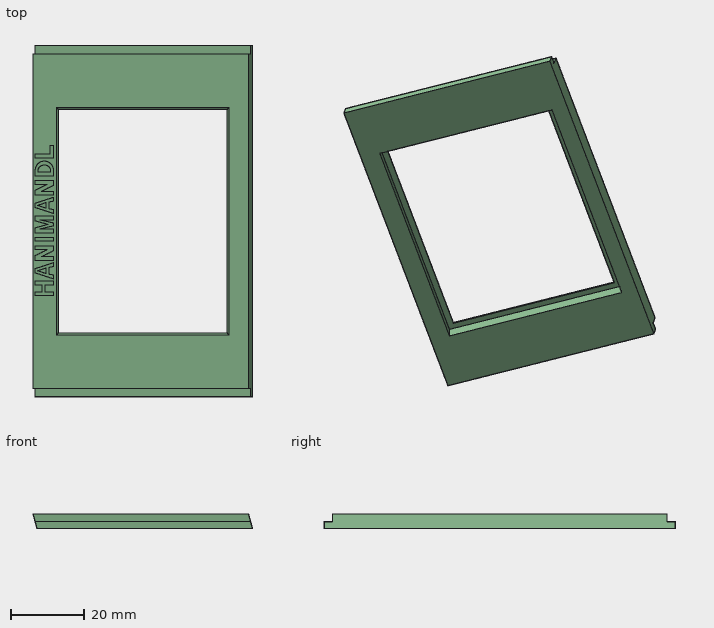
import cadquery as cq
import math

overall_width = 60.0
length = 96.0
thickness = 4.0
lean_angle = 15.0
ledge_width = 2.3
ledge_height = 1.9

window_width = 46.0
window_length = 61.0
bevel = 0.6
lip_thickness = 0.4
recess_margin = 1.6

cap_height = 5.0
baseline_x = -24.4
inlay_depth = 0.5
stem = 1.1
crossbar = 0.8
text_start = -20.4

letter_starts = [
    ("H", 0.0),
    ("A", 4.6),
    ("N", 9.6),
    ("I", 14.9),
    ("M", 17.2),
    ("A", 22.5),
    ("N", 27.5),
    ("D", 32.7),
    ("L", 37.6),
]

lean = thickness * math.tan(math.radians(lean_angle))
face_width = overall_width - lean
recess_depth = thickness - bevel - lip_thickness


def slanted_plate():
    """Parallelogram section in XZ, extruded along Y, base on Z = 0."""
    left = -overall_width / 2
    profile = [
        (left + lean, 0),
        (left + lean + face_width, 0),
        (left + face_width, thickness),
        (left, thickness),
    ]
    return cq.Workplane("XZ").polyline(profile).close().extrude(length / 2, both=True)


def ledge_cut(side):
    """Block that lowers the plate to the ledge at the +Y (side 1) or -Y (side -1) end."""
    ledge_middle = side * (length - ledge_width) / 2
    return (
        cq.Workplane("XY", origin=(0, ledge_middle, ledge_height))
        .box(overall_width, ledge_width, thickness, centered=(True, True, False))
    )


def window_cut():
    """Straight opening with a bevelled upper rim and a wider recess open to the underside."""
    opening = cq.Workplane("XY").rect(window_width, window_length).extrude(thickness)
    rim = (
        cq.Workplane("XY", origin=(0, 0, thickness - bevel))
        .rect(window_width, window_length)
        .workplane(offset=bevel)
        .rect(window_width + 2 * bevel, window_length + 2 * bevel)
        .loft()
    )
    recess = (
        cq.Workplane("XY")
        .rect(window_width + 2 * recess_margin, window_length + 2 * recess_margin)
        .extrude(recess_depth)
    )
    return opening.union(rim).union(recess)


def letter_plane(start):
    """Plane at the inlay floor with its X axis along the text and its Y axis toward the letter tops."""
    origin = (baseline_x, text_start + start, thickness - inlay_depth)
    return cq.Workplane(cq.Plane(origin=origin, xDir=(0, 1, 0), normal=(0, 0, 1)))


def raise_outline(start, points):
    """Solid from the inlay floor up to the top face, with a straight-sided outline."""
    return letter_plane(start).polyline(points).close().extrude(inlay_depth)


def letter_h(start):
    width = 4.0
    bar_bottom = 2.3
    bar_top = bar_bottom + crossbar
    return raise_outline(start, [
        (0, 0),
        (stem, 0),
        (stem, bar_bottom),
        (width - stem, bar_bottom),
        (width - stem, 0),
        (width, 0),
        (width, cap_height),
        (width - stem, cap_height),
        (width - stem, bar_top),
        (stem, bar_top),
        (stem, cap_height),
        (0, cap_height),
    ])


def letter_a(start):
    width = 4.4
    foot = 1.1
    apex_width = 1.2
    bar_bottom = 1.2
    bar_top = bar_bottom + crossbar
    counter_apex = 4.3
    counter_half_base = 0.8
    notch_half_width = 0.91
    middle = width / 2
    body = raise_outline(start, [
        (0, 0),
        (foot, 0),
        (middle - notch_half_width, bar_bottom),
        (middle + notch_half_width, bar_bottom),
        (width - foot, 0),
        (width, 0),
        (middle + apex_width / 2, cap_height),
        (middle - apex_width / 2, cap_height),
    ])
    counter = raise_outline(start, [
        (middle - counter_half_base, bar_top),
        (middle + counter_half_base, bar_top),
        (middle, counter_apex),
    ])
    return body.cut(counter)


def letter_n(start):
    width = 4.0
    diagonal_width = 1.3
    diagonal_top = 3.3
    return raise_outline(start, [
        (0, 0),
        (stem, 0),
        (stem, diagonal_top),
        (width - diagonal_width, 0),
        (width, 0),
        (width, cap_height),
        (width - stem, cap_height),
        (width - stem, cap_height - diagonal_top),
        (diagonal_width, cap_height),
        (0, cap_height),
    ])


def letter_i(start):
    return raise_outline(start, [(0, 0), (stem, 0), (stem, cap_height), (0, cap_height)])


def letter_m(start):
    width = 4.6
    shoulder = 1.3
    valley_height = 1.5
    valley_foot = 0.8
    inner_top = 3.6
    middle = width / 2
    return raise_outline(start, [
        (0, 0),
        (stem, 0),
        (stem, inner_top),
        (middle - valley_foot / 2, 0),
        (middle + valley_foot / 2, 0),
        (width - stem, inner_top),
        (width - stem, 0),
        (width, 0),
        (width, cap_height),
        (width - shoulder, cap_height),
        (middle, valley_height),
        (shoulder, cap_height),
        (0, cap_height),
    ])


def bowl(start, left, bottom, right, straight_end):
    """D-shaped block, symmetric about half the cap height."""
    top = cap_height - bottom
    return (
        letter_plane(start)
        .moveTo(left, bottom)
        .lineTo(straight_end, bottom)
        .threePointArc((right, cap_height / 2), (straight_end, top))
        .lineTo(left, top)
        .close()
        .extrude(inlay_depth)
    )


def letter_d(start):
    width = 4.0
    straight_end = 1.7
    outer = bowl(start, 0, 0, width, straight_end)
    counter = bowl(start, stem, crossbar, width - stem, straight_end)
    return outer.cut(counter)


def letter_l(start):
    width = 3.4
    foot_height = 1.0
    return raise_outline(start, [
        (0, 0),
        (width, 0),
        (width, foot_height),
        (stem, foot_height),
        (stem, cap_height),
        (0, cap_height),
    ])


letter_makers = {
    "H": letter_h,
    "A": letter_a,
    "N": letter_n,
    "I": letter_i,
    "M": letter_m,
    "D": letter_d,
    "L": letter_l,
}

letters = [letter_makers[name](start) for name, start in letter_starts]

frame = slanted_plate().cut(window_cut())
for side in (-1, 1):
    frame = frame.cut(ledge_cut(side))
for letter in letters:
    frame = frame.cut(letter)

result = cq.Compound.makeCompound([frame.val(), *[letter.val() for letter in letters]])